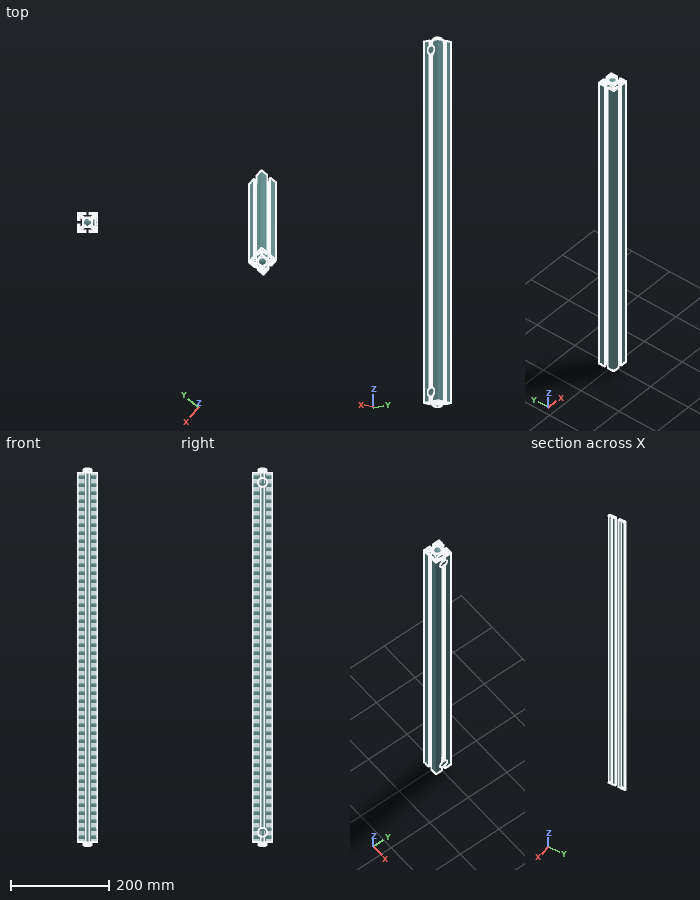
import cadquery as cq
import math

TOTAL_LENGTH = 768
PROFILE_WIDTH = 40.0
PROFILE_LENGTH = 750.0
HALF_WIDTH = PROFILE_WIDTH / 2
HALF_LENGTH = PROFILE_LENGTH / 2

CORNER_RADIUS = 1.0
HALF_OPENING = 4.0
LIP_THICKNESS = 4.0
LIP_BACK = HALF_WIDTH - LIP_THICKNESS
CORE_WIDTH = 20.0
CORE_FACE = CORE_WIDTH / 2
SLOT_FLOOR_WIDTH = 14.5
CAVITY_WIDTH = 22.0
CORNER_HOLE_DIAMETER = 4.5
CORNER_HOLE_OFFSET = 15.0

BOLT_TIP = TOTAL_LENGTH / 2
HEAD_DIAMETER = 18.0
DOME_HEIGHT = 3.0
NECK_DIAMETER = 12.0
NECK_HEIGHT = 2.7

PIN_DIAMETER = 18.0
PIN_HEAD_DIAMETER = 18.5
PIN_END_DISTANCE = PROFILE_WIDTH / 2

ENDS = (1, -1)


def slot_cutter():
    """T-slot on the +X side; 45-degree slopes widen its cavity from the floor towards the lips."""
    half_floor = SLOT_FLOOR_WIDTH / 2
    half_cavity = CAVITY_WIDTH / 2
    slope_end = CORE_FACE + half_cavity - half_floor
    upper = [
        (CORE_FACE, half_floor),
        (slope_end, half_cavity),
        (LIP_BACK, half_cavity),
        (LIP_BACK, HALF_OPENING),
        (HALF_WIDTH, HALF_OPENING),
    ]
    lower = [(x, -y) for x, y in reversed(upper)]
    return cq.Workplane("XY").polyline(upper + lower).close().extrude(HALF_LENGTH, both=True)


def corner_holes():
    """Four holes that run the full length of the profile, one in each corner."""
    spacing = 2 * CORNER_HOLE_OFFSET
    return (
        cq.Workplane("XY")
        .rect(spacing, spacing, forConstruction=True)
        .vertices()
        .circle(CORNER_HOLE_DIAMETER / 2)
        .extrude(HALF_LENGTH, both=True)
    )


def make_profile(pins):
    """Square profile with a T-slot on each side, corner holes and seats for the cross pins."""
    profile = cq.Workplane("XY").box(PROFILE_WIDTH, PROFILE_WIDTH, PROFILE_LENGTH)
    profile = profile.edges("|Z").fillet(CORNER_RADIUS)
    for quarter in range(4):
        profile = profile.cut(slot_cutter().rotate((0, 0, 0), (0, 0, 1), 90 * quarter))
    profile = profile.cut(corner_holes())
    for pin in pins:
        profile = profile.cut(pin)
    return profile


def make_bolt(end):
    """Domed bolt that stands on the core at one end of the profile."""
    head_radius = HEAD_DIAMETER / 2
    neck_radius = NECK_DIAMETER / 2
    neck_top = HALF_LENGTH + NECK_HEIGHT
    rim = BOLT_TIP - DOME_HEIGHT
    dome_radius = (head_radius**2 + DOME_HEIGHT**2) / (2 * DOME_HEIGHT)
    middle_angle = math.asin(head_radius / dome_radius) / 2
    middle_x = dome_radius * math.sin(middle_angle)
    middle_z = BOLT_TIP - dome_radius * (1 - math.cos(middle_angle))
    return (
        cq.Workplane("XZ")
        .moveTo(0, end * HALF_LENGTH)
        .lineTo(neck_radius, end * HALF_LENGTH)
        .lineTo(neck_radius, end * neck_top)
        .lineTo(head_radius, end * neck_top)
        .lineTo(head_radius, end * rim)
        .threePointArc((middle_x, end * middle_z), (0, end * BOLT_TIP))
        .close()
        .revolve(360, (0, 0, 0), (0, 1, 0))
    )


def make_pin(end):
    """Stepped pin near one end, from the core through the +X slot, flush with the +X face."""
    height = end * (HALF_LENGTH - PIN_END_DISTANCE)
    body = (
        cq.Workplane("YZ", origin=(CORE_FACE, 0, height))
        .circle(PIN_DIAMETER / 2)
        .extrude(LIP_BACK - CORE_FACE)
    )
    head = (
        cq.Workplane("YZ", origin=(LIP_BACK, 0, height))
        .circle(PIN_HEAD_DIAMETER / 2)
        .extrude(LIP_THICKNESS)
    )
    return body.union(head)


bolts = [make_bolt(end) for end in ENDS]
pins = [make_pin(end) for end in ENDS]
profile = make_profile(pins)

result = cq.Compound.makeCompound(
    [profile.val(), *[bolt.val() for bolt in bolts], *[pin.val() for pin in pins]]
)